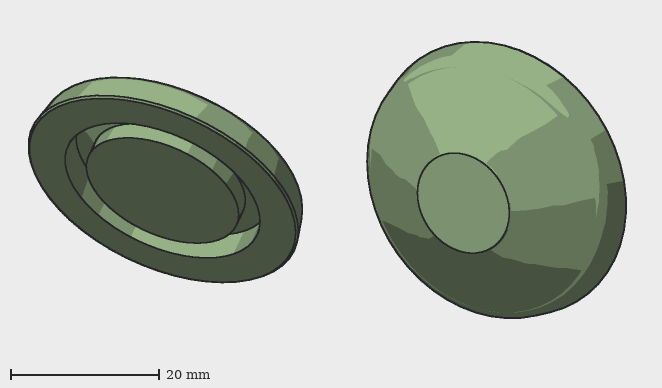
import cadquery as cq

outer_radius = 19.5
thickness = 10.4
face_y = -thickness / 2
back_y = thickness / 2

chamfer_width = 0.27
chamfer_height = 0.3
rim_end_radius = 18.8
rim_end_height = 3.6
shoulder_radius = 17.5
shoulder_height = 4.95

crown_radius = 7.35
crown_chamfer_width = 0.2
crown_chamfer_height = 0.15
dome_bulge = 0.27

groove_inner_radius = 11.0
groove_outer_radius = 14.08
groove_inner_depth = 2.5
groove_outer_depth = 4.05


def revolve_about_y(profile):
    return profile.close().revolve(360, (0, 0, 0), (0, 1, 0))


def make_body():
    profile = (
        cq.Workplane("XY")
        .moveTo(0, face_y)
        .lineTo(outer_radius - chamfer_width, face_y)
        .lineTo(outer_radius, face_y + chamfer_height)
        .lineTo(rim_end_radius, face_y + rim_end_height)
        .tangentArcPoint((shoulder_radius, face_y + shoulder_height), relative=False)
        .sagittaArc((crown_radius, back_y - crown_chamfer_height), -dome_bulge)
        .lineTo(crown_radius - crown_chamfer_width, back_y)
        .lineTo(0, back_y)
    )
    return revolve_about_y(profile)


def make_groove():
    profile = (
        cq.Workplane("XY")
        .moveTo(groove_inner_radius, face_y)
        .lineTo(groove_outer_radius, face_y)
        .lineTo(groove_outer_radius, face_y + groove_outer_depth)
        .lineTo(groove_inner_radius, face_y + groove_inner_depth)
    )
    return revolve_about_y(profile)


result = make_body().cut(make_groove())